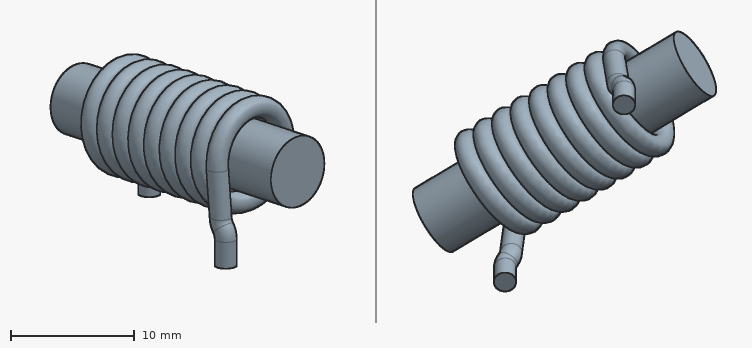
import cadquery as cq
import math

core_length = 25.7
core_diameter = 6.0

wire_diameter = 1.8
coil_outer_diameter = 10.0
pitch = 1.82
turns = 8.5

wire_radius = wire_diameter / 2
coil_radius = coil_outer_diameter / 2 - wire_radius
coil_length = pitch * turns

slant_shift = 0.39
slant_drop = 4.0
bend_shift = 0.6
bend_drop = 1.72
overall_height = 13.0

coil_end_x = coil_length / 2
bend_top_x = coil_end_x + slant_shift
foot_x = bend_top_x + bend_shift
foot_top_z = -slant_drop - bend_drop
foot_length = overall_height - coil_outer_diameter / 2 + foot_top_z


def make_core():
    return cq.Workplane("YZ").circle(core_diameter / 2).extrude(core_length / 2, both=True)


def wire_section(x, y, z):
    """Horizontal workplane centred on the wire, carrying its round section."""
    return cq.Workplane("XY", origin=(x, y, z)).circle(wire_radius)


def make_winding():
    """Right-handed helix along +X, starting at the +Y side at axis height."""
    winding_plane = cq.Plane(origin=(-coil_end_x, 0, 0), xDir=(0, 1, 0), normal=(1, 0, 0))
    helix = cq.Wire.makeHelix(pitch, coil_length, coil_radius).moved(winding_plane.location)
    section = wire_section(-coil_end_x, coil_radius, 0)
    return section.sweep(cq.Workplane(obj=helix), isFrenet=True)


def make_leg():
    """Leg at the +X end of the winding, on the -Y side."""
    leg_y = -coil_radius

    slant = (
        wire_section(coil_end_x, leg_y, 0)
        .workplane(offset=-slant_drop)
        .center(slant_shift, 0)
        .circle(wire_radius)
        .loft(ruled=True)
    )

    bend_angle = 2 * math.atan2(bend_shift, bend_drop)
    bend_radius = bend_drop / (2 * math.sin(bend_angle))
    half_angle = bend_angle / 2
    arc_mid_shift = bend_radius * (1 - math.cos(half_angle))
    arc_mid_drop = bend_radius * math.sin(half_angle)
    bend_path = (
        cq.Workplane("XZ", origin=(0, leg_y, 0))
        .moveTo(bend_top_x, -slant_drop)
        .threePointArc(
            (bend_top_x + arc_mid_shift, -slant_drop - arc_mid_drop),
            (bend_top_x + bend_shift / 2, -slant_drop - bend_drop / 2),
        )
        .threePointArc(
            (foot_x - arc_mid_shift, foot_top_z + arc_mid_drop),
            (foot_x, foot_top_z),
        )
    )
    bend = wire_section(bend_top_x, leg_y, -slant_drop).sweep(bend_path)

    foot = wire_section(foot_x, leg_y, foot_top_z).extrude(-foot_length)
    return slant.union(bend).union(foot)


def make_coil():
    """Winding and its two legs, formed from a single length of wire."""
    coil = make_winding()
    leg = make_leg()
    for turn_angle in (0, 180):
        coil = coil.union(leg.rotate((0, 0, 0), (0, 0, 1), turn_angle))
    return coil


core = make_core()
coil = make_coil()

result = cq.Compound.makeCompound([core.val(), *coil.solids().vals()])